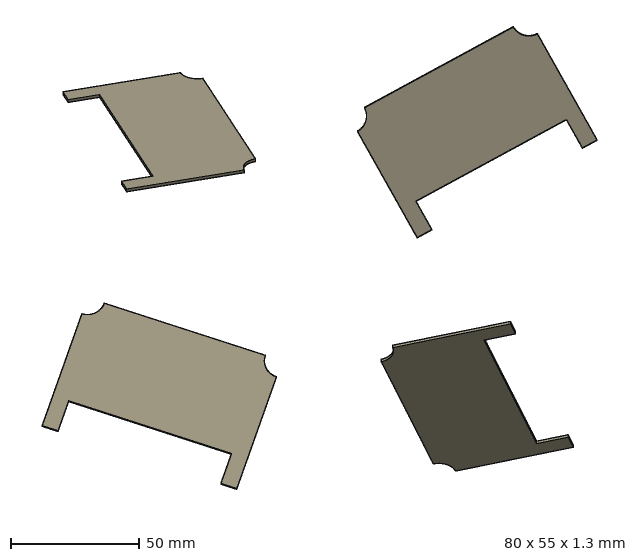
import cadquery as cq

width = 80.0
depth = 55.0
thickness = 1.3

corner_radius = 6.9

leg_width = 6.6
leg_length = 12.9

plate = cq.Workplane("XY").box(width, depth, thickness)

corner_cutouts = (
    cq.Workplane("XY")
    .pushPoints([(-width / 2, depth / 2), (width / 2, depth / 2)])
    .circle(corner_radius)
    .extrude(thickness, both=True)
)

front_notch = (
    cq.Workplane("XY")
    .center(0, (leg_length - depth) / 2)
    .rect(width - 2 * leg_width, leg_length)
    .extrude(thickness, both=True)
)

result = plate.cut(corner_cutouts).cut(front_notch)